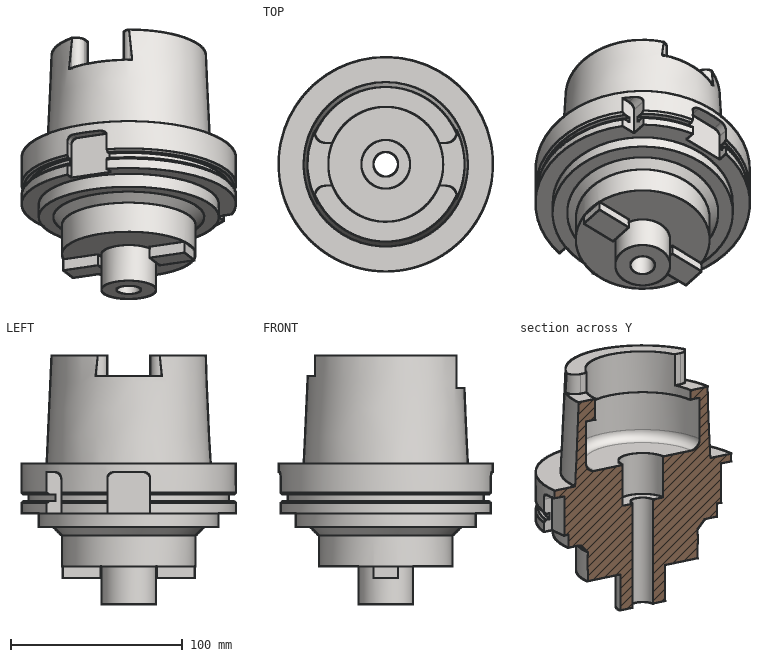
import cadquery as cq


shank_length = 63.0
shank_base_radius = 47.9
shank_top_radius = 45.05

flange_radius = 62.5
flange_thickness = 29.0
groove_middle_z = -20.0
groove_floor_radius = 58.5
groove_width = 3.6
groove_chamfer = 1.35

collar_radius = 52.5
collar_bottom_z = -37.0
body_radius = 39.0
body_bottom_z = -60.0
cone_height = 5.0
pilot_radius = 16.0
pilot_bottom_z = -82.0

mouth_radius = 33.5
mouth_depth = 25.0
chamber_radius = 40.0
chamber_fillet = 6.0
chamber_depth = 50.0 + chamber_fillet
tube_bore_radius = 14.2
tube_bore_depth = 25.0
through_radius = 7.1

notch_width = 25.0
notch_fillet = 6.0
notch_outer_x = 41.3
left_notch_depth = 12.0
right_notch_depth = 19.0

slot_top_z = -5.0
slot_corner_radius = 4.0
slot_width = 25.0
slot_floor_x = 55.4
index_slot_floor_x = 40.0
index_slot_side_y = 39.3

key_width = 14.4
key_height = 6.8
key_inner_y = 16.4
key_outer_y = 38.5


def make_turned_body():
    """Solid of revolution: shank, grooved flange, collar, body and spigot."""
    groove_half = groove_width / 2
    groove_outer_half = groove_half + groove_chamfer
    chamfer_radius = flange_radius - groove_chamfer
    cone_bottom_z = collar_bottom_z - cone_height
    return (
        cq.Workplane("YZ")
        .moveTo(0, shank_length)
        .lineTo(shank_top_radius, shank_length)
        .lineTo(shank_base_radius, 0)
        .lineTo(flange_radius, 0)
        .lineTo(flange_radius, groove_middle_z + groove_outer_half)
        .lineTo(chamfer_radius, groove_middle_z + groove_half)
        .lineTo(groove_floor_radius, groove_middle_z + groove_half)
        .lineTo(groove_floor_radius, groove_middle_z - groove_half)
        .lineTo(chamfer_radius, groove_middle_z - groove_half)
        .lineTo(flange_radius, groove_middle_z - groove_outer_half)
        .lineTo(flange_radius, -flange_thickness)
        .lineTo(collar_radius, -flange_thickness)
        .lineTo(collar_radius, collar_bottom_z)
        .lineTo(body_radius + cone_height, collar_bottom_z)
        .lineTo(body_radius, cone_bottom_z)
        .lineTo(body_radius, body_bottom_z)
        .lineTo(pilot_radius, body_bottom_z)
        .lineTo(pilot_radius, pilot_bottom_z)
        .lineTo(0, pilot_bottom_z)
        .close()
        .revolve(360, (0, 0, 0), (0, 1, 0))
    )


def cylinder(radius, top_z, bottom_z):
    """Cylinder on the Z axis between two heights."""
    return cq.Workplane("XY").workplane(offset=bottom_z).circle(radius).extrude(top_z - bottom_z)


def make_bore():
    """Mouth, wider chamber with a rounded floor edge, tube bore and through hole."""
    mouth_bottom_z = shank_length - mouth_depth
    chamber_floor_z = shank_length - chamber_depth
    mouth = cylinder(mouth_radius, shank_length, mouth_bottom_z)
    chamber = cylinder(chamber_radius, mouth_bottom_z, chamber_floor_z)
    chamber = chamber.faces("<Z").edges().fillet(chamber_fillet)
    tube_bore = cylinder(tube_bore_radius, chamber_floor_z, chamber_floor_z - tube_bore_depth)
    through_hole = cylinder(through_radius, chamber_floor_z, pilot_bottom_z)
    return mouth.union(chamber).union(tube_bore).union(through_hole)


def make_drive_notch(side, depth):
    """Cutter for one notch: flared to the outside by convex fillets, side is -1 or +1 along X."""
    half_width = notch_width / 2
    flare_half_width = half_width + notch_fillet
    fillet_start_x = notch_outer_x - notch_fillet
    mid_offset = notch_fillet * (1 - 0.5 ** 0.5)
    return (
        cq.Workplane("XY")
        .workplane(offset=shank_length - depth)
        .moveTo(0, -half_width)
        .lineTo(side * fillet_start_x, -half_width)
        .threePointArc(
            (side * (notch_outer_x - mid_offset), -half_width - mid_offset),
            (side * notch_outer_x, -flare_half_width),
        )
        .lineTo(side * notch_outer_x, -shank_base_radius)
        .lineTo(side * shank_base_radius, -shank_base_radius)
        .lineTo(side * shank_base_radius, shank_base_radius)
        .lineTo(side * notch_outer_x, shank_base_radius)
        .lineTo(side * notch_outer_x, flare_half_width)
        .threePointArc(
            (side * (notch_outer_x - mid_offset), half_width + mid_offset),
            (side * fillet_start_x, half_width),
        )
        .lineTo(0, half_width)
        .close()
        .extrude(depth)
    )


def make_rim_slot(side, floor_x, min_y):
    """Cutter for one rim slot: open outward and downward, upper corners rounded."""
    slot_depth = flange_radius - floor_x
    slot_height = flange_thickness + slot_top_z
    return (
        cq.Workplane("XY")
        .box(slot_depth, slot_width, slot_height, centered=(True, False, False))
        .edges("|X and >Z")
        .fillet(slot_corner_radius)
        .translate((side * (floor_x + slot_depth / 2), min_y, -flange_thickness))
    )


def make_key(side):
    """Driving key under the body, side is -1 or +1 along Y."""
    key_length = key_outer_y - key_inner_y
    key_middle_y = side * (key_inner_y + key_outer_y) / 2
    return (
        cq.Workplane("XY")
        .workplane(offset=body_bottom_z - key_height)
        .center(0, key_middle_y)
        .rect(key_width, key_length)
        .extrude(key_height)
    )


result = make_turned_body().cut(make_bore())

for notch_side, notch_depth in ((-1, left_notch_depth), (1, right_notch_depth)):
    result = result.cut(make_drive_notch(notch_side, notch_depth))

for slot_side in (-1, 1):
    result = result.cut(make_rim_slot(slot_side, slot_floor_x, -slot_width / 2))
result = result.cut(make_rim_slot(-1, index_slot_floor_x, index_slot_side_y))

for key_side in (-1, 1):
    result = result.union(make_key(key_side))